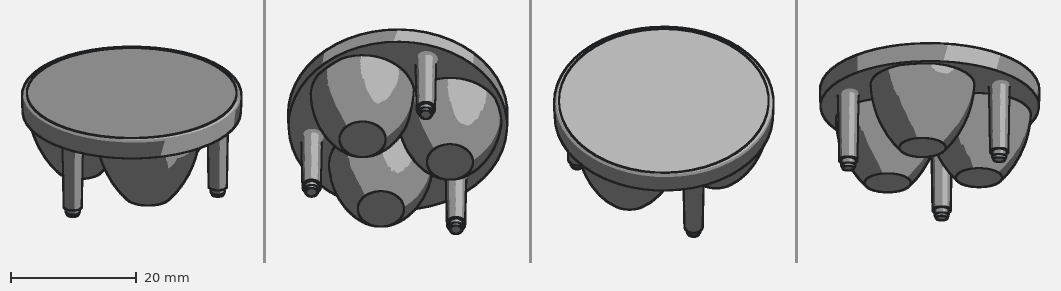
import cadquery as cq
import math

plate_radius = 17.48
plate_bottom_radius = 17.38
plate_thickness = 3.3
plate_edge_fillet = 0.52
face_recess_radius = 16.68
face_recess_depth = 0.07

copies = 3
lens_circle_radius = 8.45
lens_first_angle = 0
lens_top_radius = 8.25
lens_middle_radius = 6.78
lens_middle_depth = 6.25
lens_bottom_radius = 3.67
lens_depth = 11.0

trim_top_radius = 16.5
trim_draft = 3.5

leg_circle_radius = 14.0
leg_first_angle = 180
leg_top_radius = 1.65
leg_shoulder_radius = 1.47
leg_shoulder_depth = 11.8
leg_root_fillet = 0.77
tip_top_radius = 1.2
tip_bottom_radius = 1.12
tip_end_radius = 0.9
tip_chamfer_depth = 12.73
leg_depth = 13.2

AXIS_START = (0, 0, 0)
AXIS_END = (0, 1, 0)


def revolve_about_z(profile):
    """Turn a closed half profile in the XZ plane around the Z axis."""
    return profile.close().revolve(360, AXIS_START, AXIS_END)


def placed_around(body, circle_radius, first_angle):
    """Union of equally spaced copies of a body on a circle about Z."""
    group = cq.Workplane("XY")
    for index in range(copies):
        angle = first_angle + index * 360 / copies
        copy = body.translate((circle_radius, 0, 0)).rotate((0, 0, 0), (0, 0, 1), angle)
        group = group.union(copy)
    return group


def make_plate():
    profile = (
        cq.Workplane("XZ")
        .lineTo(plate_bottom_radius, 0)
        .lineTo(plate_radius, plate_thickness - plate_edge_fillet)
        .radiusArc((plate_radius - plate_edge_fillet, plate_thickness), -plate_edge_fillet)
        .lineTo(face_recess_radius, plate_thickness)
        .lineTo(face_recess_radius, plate_thickness - face_recess_depth)
        .lineTo(0, plate_thickness - face_recess_depth)
    )
    return revolve_about_z(profile)


def make_lenses():
    profile = (
        cq.Workplane("XZ")
        .lineTo(lens_top_radius, 0)
        .threePointArc((lens_middle_radius, -lens_middle_depth), (lens_bottom_radius, -lens_depth))
        .lineTo(0, -lens_depth)
    )
    lenses = placed_around(revolve_about_z(profile), lens_circle_radius, lens_first_angle)
    envelope = cq.Workplane("XY").circle(trim_top_radius).extrude(-lens_depth, taper=trim_draft)
    return lenses.intersect(envelope)


def make_legs():
    quarter_offset = leg_root_fillet * (1 - math.sqrt(0.5))
    profile = (
        cq.Workplane("XZ")
        .lineTo(leg_top_radius + leg_root_fillet, 0)
        .threePointArc(
            (leg_top_radius + quarter_offset, -quarter_offset),
            (leg_top_radius, -leg_root_fillet),
        )
        .lineTo(leg_shoulder_radius, -leg_shoulder_depth)
        .lineTo(tip_top_radius, -leg_shoulder_depth)
        .lineTo(tip_bottom_radius, -tip_chamfer_depth)
        .lineTo(tip_end_radius, -leg_depth)
        .lineTo(0, -leg_depth)
    )
    return placed_around(revolve_about_z(profile), leg_circle_radius, leg_first_angle)


result = make_plate().union(make_lenses()).union(make_legs())